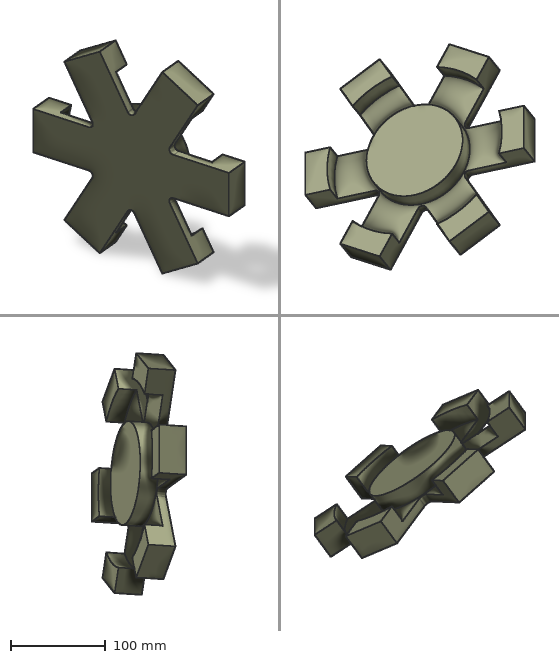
import cadquery as cq
import math

ARM_COUNT = 6
TIP_REACH = 125.0
ARM_WIDTH = 52.2
THICKNESS = 30.0
PLATE_THICKNESS = 10.0
HUB_RADIUS = 55.0
GROOVE_RADIUS = 100.0
VALLEY_RADIUS = 5.0

ARM_PITCH = 360 / ARM_COUNT
FRONT_Y = -THICKNESS / 2
FLOOR_Y = FRONT_Y + PLATE_THICKNESS
GROOVE_DEPTH = THICKNESS - PLATE_THICKNESS
VALLEY_REACH = ARM_WIDTH / 2 / math.sin(math.radians(ARM_PITCH / 2))


def plane_at(y):
    """XZ plane at the given Y whose extrusions run toward +Y."""
    return cq.Workplane(cq.Plane(origin=(0, y, 0), xDir=(1, 0, 0), normal=(0, 1, 0)))


def make_star():
    """Full-thickness star of radial arms with filleted valleys."""
    arm = plane_at(FRONT_Y).center(TIP_REACH / 2, 0).rect(TIP_REACH, ARM_WIDTH).extrude(THICKNESS)
    star = arm
    for index in range(1, ARM_COUNT):
        star = star.union(arm.rotate((0, 0, 0), (0, 1, 0), index * ARM_PITCH))
    star = star.clean()

    half_box = VALLEY_REACH + VALLEY_RADIUS
    valley_box = cq.selectors.BoxSelector(
        (-half_box, -THICKNESS, -half_box),
        (half_box, THICKNESS, half_box),
    )
    return star.edges("|Y").edges(valley_box).fillet(VALLEY_RADIUS)


def make_groove():
    """Ring cut from the +Y face, leaving a round hub and a lug on each arm."""
    return plane_at(FLOOR_Y).circle(GROOVE_RADIUS).circle(HUB_RADIUS).extrude(GROOVE_DEPTH)


result = make_star().cut(make_groove())